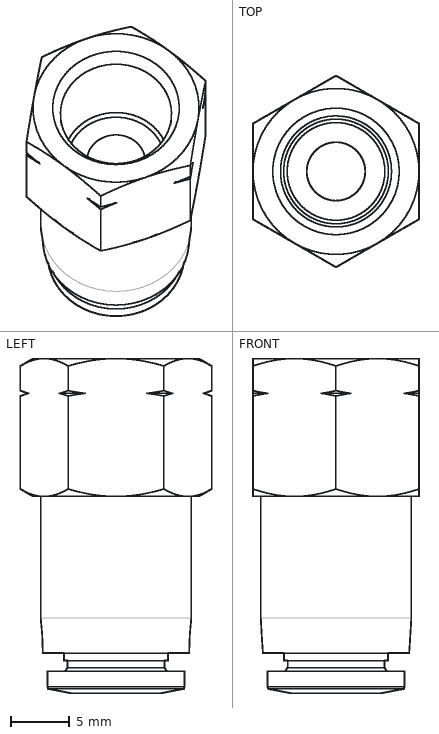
import cadquery as cq
import math

total_height = 28.8
flange_face_edge_z = 0.37
flange_edge_z = 0.55
flange_top_z = 1.9
neck_flare_z = 2.22
collar_z = 2.82
body_bottom_z = 3.45
body_taper_z = 6.5
hex_bottom_z = 16.93

flange_face_diameter = 7.78
flange_diameter = 11.8
flare_diameter = 8.78
neck_diameter = 8.35
collar_diameter = 9.0
body_end_diameter = 12.6
body_diameter = 13.0
flange_bevel_diameter = 11.7

across_flats = 14.28
across_corners = across_flats / math.cos(math.radians(30))
hex_height = total_height - hex_bottom_z
corner_chamfer_angle = 30
corner_reach = (across_corners - across_flats) / 2
corner_drop = corner_reach * math.tan(math.radians(corner_chamfer_angle))
notch_z = 25.8
notch_root_diameter = 15.24
notch_width = 0.45

through_diameter = 5.0
socket_mouth_diameter = 10.9
socket_top_diameter = 9.55
socket_bottom_diameter = 9.0
socket_floor_diameter = 8.4
mouth_depth = 1.15
socket_taper = 1 / 16
socket_taper_depth = (socket_top_diameter - socket_bottom_diameter) / socket_taper
floor_chamfer_depth = (socket_bottom_diameter - socket_floor_diameter) / 2


def turned(profile):
    """Revolve (diameter, z) points, closed along the axis, about Z."""
    points = [(0, profile[0][1])]
    points += [(diameter / 2, z) for diameter, z in profile]
    points += [(0, profile[-1][1])]
    return cq.Workplane("XZ").polyline(points).close().revolve(360, (0, 0), (0, 1))


def make_body():
    """Cylindrical sleeve with the flanged release collar below it."""
    return turned([
        (flange_face_diameter, 0),
        (flange_bevel_diameter, flange_face_edge_z),
        (flange_diameter, flange_edge_z),
        (flange_diameter, flange_top_z),
        (flare_diameter, flange_top_z),
        (neck_diameter, neck_flare_z),
        (neck_diameter, collar_z),
        (collar_diameter, collar_z),
        (collar_diameter, body_bottom_z),
        (body_end_diameter, body_bottom_z),
        (body_diameter, body_taper_z),
        (body_diameter, hex_bottom_z),
    ])


def make_nut():
    """Hexagon with corners on the Y axis, trimmed by a turned envelope."""
    hexagon = (
        cq.Workplane("XY", origin=(0, 0, hex_bottom_z))
        .polygon(6, across_corners)
        .extrude(hex_height)
        .rotate((0, 0, 0), (0, 0, 1), 30)
    )
    envelope = turned([
        (across_flats, hex_bottom_z),
        (across_corners, hex_bottom_z + corner_drop),
        (across_corners, notch_z - notch_width / 2),
        (notch_root_diameter, notch_z),
        (across_corners, notch_z + notch_width / 2),
        (across_corners, total_height - corner_drop),
        (across_flats, total_height),
    ])
    return hexagon.intersect(envelope)


def make_bore():
    """Tapered socket from the nut face, with a hole through its floor."""
    mouth_z = total_height - mouth_depth
    taper_end_z = mouth_z - socket_taper_depth
    floor_z = taper_end_z - floor_chamfer_depth
    return turned([
        (through_diameter, 0),
        (through_diameter, floor_z),
        (socket_floor_diameter, floor_z),
        (socket_bottom_diameter, taper_end_z),
        (socket_top_diameter, mouth_z),
        (socket_mouth_diameter, total_height),
    ])


result = make_body().union(make_nut()).cut(make_bore())